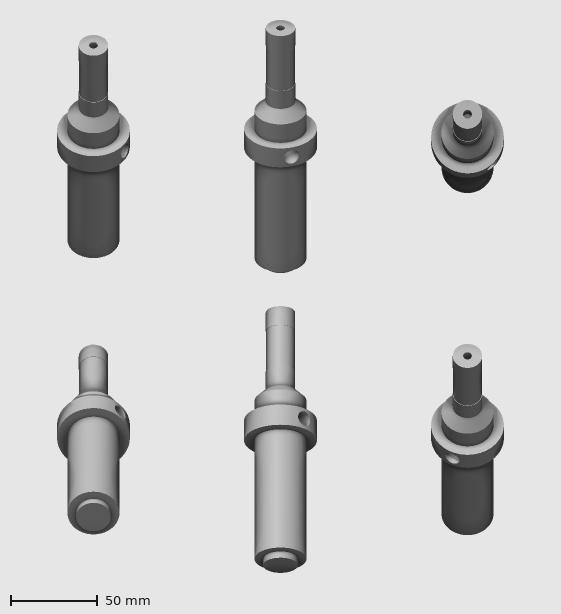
import cadquery as cq

PLUG_DIAMETER = 20.0
BARREL_DIAMETER = 30.0
COLLAR_DIAMETER = 42.0
NECK_DIAMETER = 17.0
SLEEVE_DIAMETER = 16.5
TIP_BORE_DIAMETER = 5.0
CROSS_HOLE_DIAMETER = 9.0

TOTAL_LENGTH = 162.0
PLUG_HEIGHT = 4.0
COLLAR_BOTTOM = 79.9
COLLAR_HEIGHT = 13.0
NECK_BOTTOM = 112.0
NECK_HEIGHT = 12.2
TIP_HEIGHT = 12.0

CONE_HEIGHT = (BARREL_DIAMETER - NECK_DIAMETER) / 2
CONE_BOTTOM = NECK_BOTTOM - CONE_HEIGHT
SLEEVE_BOTTOM = NECK_BOTTOM + NECK_HEIGHT
TIP_BOTTOM = TOTAL_LENGTH - TIP_HEIGHT
CROSS_HOLE_HEIGHT = COLLAR_BOTTOM + COLLAR_HEIGHT / 2


def cylinder(diameter, bottom, top):
    """Solid cylinder about Z between two heights."""
    return cq.Workplane("XY").workplane(offset=bottom).circle(diameter / 2).extrude(top - bottom)


def cross_hole():
    """Cutter for the hole that runs along X through the collar and the barrel."""
    return (
        cq.Workplane("YZ")
        .center(0, CROSS_HOLE_HEIGHT)
        .circle(CROSS_HOLE_DIAMETER / 2)
        .extrude(COLLAR_DIAMETER, both=True)
    )


def make_plug():
    """Short plug below the barrel."""
    return cylinder(PLUG_DIAMETER, 0, PLUG_HEIGHT)


def make_barrel():
    """Long barrel with a conical shoulder that tapers to the neck diameter."""
    profile = [
        (0, PLUG_HEIGHT),
        (BARREL_DIAMETER / 2, PLUG_HEIGHT),
        (BARREL_DIAMETER / 2, CONE_BOTTOM),
        (NECK_DIAMETER / 2, NECK_BOTTOM),
        (0, NECK_BOTTOM),
    ]
    barrel = cq.Workplane("XZ").polyline(profile).close().revolve(360, (0, 0), (0, 1))
    return barrel.cut(cross_hole())


def make_collar():
    """Ring around the barrel, cross-drilled in line with it."""
    collar_top = COLLAR_BOTTOM + COLLAR_HEIGHT
    ring = cylinder(COLLAR_DIAMETER, COLLAR_BOTTOM, collar_top)
    barrel_seat = cylinder(BARREL_DIAMETER, COLLAR_BOTTOM, collar_top)
    return ring.cut(barrel_seat).cut(cross_hole())


def make_neck():
    """Cylinder standing on the shoulder of the barrel."""
    return cylinder(NECK_DIAMETER, NECK_BOTTOM, SLEEVE_BOTTOM)


def make_sleeve():
    """Slightly narrower length between the neck and the tip."""
    return cylinder(SLEEVE_DIAMETER, SLEEVE_BOTTOM, TIP_BOTTOM)


def make_tip():
    """End piece with an axial bore through it."""
    tip = cylinder(NECK_DIAMETER, TIP_BOTTOM, TOTAL_LENGTH)
    return tip.cut(cylinder(TIP_BORE_DIAMETER, TIP_BOTTOM, TOTAL_LENGTH))


plug = make_plug()
barrel = make_barrel()
collar = make_collar()
neck = make_neck()
sleeve = make_sleeve()
tip = make_tip()

result = cq.Compound.makeCompound(
    [plug.val(), barrel.val(), collar.val(), neck.val(), sleeve.val(), tip.val()]
)